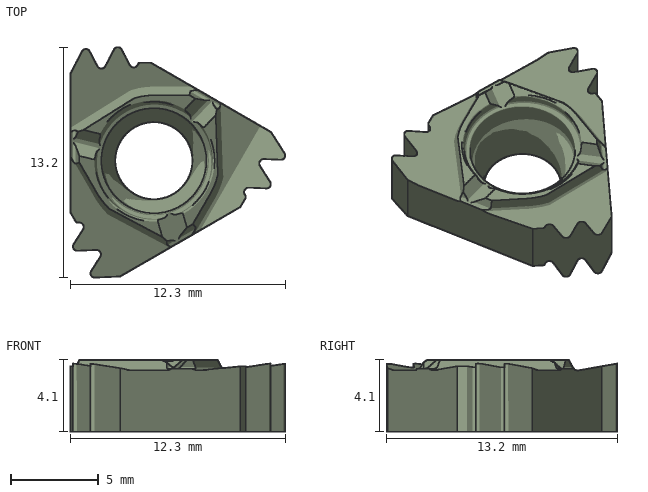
import cadquery as cq
import math

CORNERS = 3
CORNER_STEP = 360 / CORNERS

SIDE_DISTANCE = 4.76
TOP_Z = 4.1
FLOOR_Z = 3.51
REACH = 9.21

FLANK_ANGLE = 27.5
THREAD_RADIUS = 0.25
FIRST_CREST_X = -3.88
FIRST_CREST_Y = 6.38
FIRST_ROOT_Y = 5.26
SECOND_CREST_Y = 6.49
SECOND_ROOT_Y = 5.33
LAND_Y = 5.6
LAND_RADIUS = 0.16
FOLD_DISTANCE = 4.29
TOOTH_FACE_ANGLE = 10.0
FOLD_RADIUS = 0.4

FRONT_WALL_ANGLE = 90.0
FRONT_WALL_DISTANCE = 3.74
SKEW_WALL_ANGLE = 122.0
SKEW_WALL_DISTANCE = 3.62
WALL_TAPER = 27.0
BLEND_RADIUS = 0.32

LEDGE_Z = 3.6
LEDGE_WALL_DISTANCE = 4.25
LEDGE_BLEND_RADIUS = 0.2
LEDGE_START_Y = -0.4
LEDGE_END_Y = 2.63
GROOVE_ANGLE = 166.2
GROOVE_HALF_WIDTH = 0.75
GROOVE_SLOPE = 50.0
GROOVE_INNER_END = 2.37
GROOVE_OVERRUN = 0.66

THROAT_RADIUS = 4.4 / 2
THROAT_TOP_Z = 0.79
SEAT_RADIUS = 2.2
SEAT_ANGLE = 45.0
BORE_RADIUS = 3.0
SHELF_Z = 3.6
SHELF_EDGE_RADIUS = 0.07
MOUTH_RADIUS = 3.38
MOUTH_TAPER = 10.0
MOUTH_BLEND_RADIUS = 0.21
RIM_RADIUS = 0.1


def tangent(degrees):
    return math.tan(math.radians(degrees))


def polar(radius, degrees):
    angle = math.radians(degrees)
    return (radius * math.cos(angle), radius * math.sin(angle))


def shifted(point, radius, degrees):
    dx, dy = polar(radius, degrees)
    return (point[0] + dx, point[1] + dy)


def turned(point, steps):
    """Plan point carried to another corner, counted counterclockwise."""
    x, y = point
    return polar(math.hypot(x, y), math.degrees(math.atan2(y, x)) + CORNER_STEP * steps)


def upright_edge_at(point):
    return cq.selectors.NearestToPointSelector((*point, REACH / 2))


def lines_crossing(distance_a, angle_a, distance_b, angle_b):
    """Point where two plan lines meet, each given by its distance from the axis and its normal."""
    ax, ay = polar(1, angle_a)
    bx, by = polar(1, angle_b)
    cross = ax * by - ay * bx
    return ((distance_a * by - distance_b * ay) / cross, (distance_b * ax - distance_a * bx) / cross)


def at_each_corner(shape):
    return [shape.rotate((0, 0, 0), (0, 0, 1), CORNER_STEP * i) for i in range(CORNERS)]


def outline_prism():
    """Toothed outline, taller than the part, with rounded crests and roots."""
    flank = tangent(FLANK_ANGLE)
    rounding = THREAD_RADIUS * (1 / math.sin(math.radians(FLANK_ANGLE)) - 1)
    heights = [
        FIRST_CREST_Y + rounding,
        FIRST_ROOT_Y - rounding,
        SECOND_CREST_Y + rounding,
        SECOND_ROOT_Y - rounding,
    ]
    thread = [(FIRST_CREST_X, heights[0])]
    for y in heights[1:]:
        x, previous_y = thread[-1]
        thread.append((x + abs(y - previous_y) * flank, y))
    root_x, root_y = thread[-1]
    land_start = (root_x + (LAND_Y - root_y) * flank, LAND_Y)
    land_end = lines_crossing(LAND_Y, 90, SIDE_DISTANCE, 60)
    side_start = (-SIDE_DISTANCE, heights[0] - (FIRST_CREST_X + SIDE_DISTANCE) / flank)
    corner = [side_start, *thread, land_start, land_end]

    points = [turned(point, -i) for i in range(CORNERS) for point in corner]
    prism = cq.Workplane("XY").polyline(points).close().extrude(REACH)
    for i in range(CORNERS):
        for point in thread:
            prism = prism.edges(upright_edge_at(turned(point, i))).fillet(THREAD_RADIUS)
        prism = prism.edges(upright_edge_at(turned(land_start, i))).fillet(LAND_RADIUS)
    return prism


def boss_on_floor():
    """Tapered boss with a front wall, a conical wall and a skew wall per corner, on the chip floor."""
    arc_end = SKEW_WALL_ANGLE - math.degrees(math.acos(SKEW_WALL_DISTANCE / FRONT_WALL_DISTANCE))
    arc_angles = (FRONT_WALL_ANGLE, (FRONT_WALL_ANGLE + arc_end) / 2, arc_end)
    arc = [polar(FRONT_WALL_DISTANCE, angle) for angle in arc_angles]
    tip = lines_crossing(
        SKEW_WALL_DISTANCE, SKEW_WALL_ANGLE,
        FRONT_WALL_DISTANCE, FRONT_WALL_ANGLE + CORNER_STEP,
    )

    path = cq.Workplane("XY", origin=(0, 0, TOP_Z)).moveTo(*arc[0])
    for i in range(CORNERS):
        path = path.threePointArc(turned(arc[1], i), turned(arc[2], i)).lineTo(*turned(tip, i))
        if i < CORNERS - 1:
            path = path.lineTo(*turned(arc[0], i + 1))
    boss = path.close().extrude(FLOOR_Z - TOP_Z, taper=-WALL_TAPER)
    slab = cq.Workplane("XY").rect(2 * REACH, 2 * REACH).extrude(FLOOR_Z)
    inside = REACH - 0.13
    boss_foot = cq.selectors.BoxSelector((-inside, -inside, FLOOR_Z - 0.01), (inside, inside, FLOOR_Z + 0.01))
    return slab.union(boss).edges(boss_foot).fillet(BLEND_RADIUS)


def tooth_face_wedge():
    """Ground under one tooth face: flat up to the fold, then rising outward."""
    rise = (REACH - FOLD_DISTANCE) * tangent(TOOTH_FACE_ANGLE)
    base_z = FLOOR_Z / 2
    profile = [
        (0, base_z),
        (0, FLOOR_Z),
        (FOLD_DISTANCE, FLOOR_Z),
        (REACH, FLOOR_Z + rise),
        (REACH, base_z),
    ]
    wedge = cq.Workplane("YZ").polyline(profile).close().extrude(REACH, both=True)
    fold = cq.selectors.NearestToPointSelector((0, FOLD_DISTANCE, FLOOR_Z))
    return wedge.edges(fold).fillet(FOLD_RADIUS)


def ledge_cutter():
    """Space above the narrow ledge on the -X side, bounded by a sloping blended wall."""
    wall_run = (TOP_Z - LEDGE_Z) * tangent(WALL_TAPER)
    profile = [
        (-LEDGE_WALL_DISTANCE, TOP_Z),
        (-LEDGE_WALL_DISTANCE - wall_run, LEDGE_Z),
        (-REACH, LEDGE_Z),
        (-REACH, TOP_Z),
    ]
    length = LEDGE_END_Y - LEDGE_START_Y
    cutter = cq.Workplane("XZ", origin=(0, LEDGE_END_Y, 0)).polyline(profile).close().extrude(length)
    foot = cq.selectors.NearestToPointSelector((profile[1][0], LEDGE_END_Y - length / 2, LEDGE_Z))
    return cutter.edges(foot).fillet(LEDGE_BLEND_RADIUS)


def groove_cutter():
    """V groove with blended walls, running outward from the screw hole along +X, then turned."""
    floor_half_width = GROOVE_HALF_WIDTH - (TOP_Z - LEDGE_Z) * tangent(GROOVE_SLOPE)
    profile = [
        (-GROOVE_HALF_WIDTH, TOP_Z),
        (-floor_half_width, LEDGE_Z),
        (floor_half_width, LEDGE_Z),
        (GROOVE_HALF_WIDTH, TOP_Z),
    ]
    plane = cq.Workplane("YZ", origin=(GROOVE_INNER_END, 0, 0))
    cutter = plane.polyline(profile).close().extrude(SIDE_DISTANCE - GROOVE_INNER_END + GROOVE_OVERRUN)
    cutter = cutter.faces("<Z").edges("|X").fillet(BLEND_RADIUS)
    return cutter.rotate((0, 0, 0), (0, 0, 1), GROOVE_ANGLE)


def screw_hole():
    """Revolved hole: throat, convex seat, bore, shelf and tapered mouth."""
    seat_center = (THROAT_RADIUS + SEAT_RADIUS, THROAT_TOP_Z)
    seat_middle = shifted(seat_center, SEAT_RADIUS, 180 - SEAT_ANGLE / 2)
    seat_end = shifted(seat_center, SEAT_RADIUS, 180 - SEAT_ANGLE)
    blend_radius = (BORE_RADIUS - seat_end[0]) / (1 - math.cos(math.radians(SEAT_ANGLE)))
    blend_center = shifted(seat_end, blend_radius, 180 - SEAT_ANGLE)
    blend_middle = shifted(blend_center, blend_radius, -SEAT_ANGLE / 2)
    bore_start = shifted(blend_center, blend_radius, 0)

    edge_center = (BORE_RADIUS + SHELF_EDGE_RADIUS, SHELF_Z - SHELF_EDGE_RADIUS)
    mouth_foot = MOUTH_RADIUS - (TOP_Z - SHELF_Z) * tangent(MOUTH_TAPER)
    half_turn = (90 - MOUTH_TAPER) / 2
    shelf_center = (mouth_foot - MOUTH_BLEND_RADIUS * tangent(half_turn), SHELF_Z + MOUTH_BLEND_RADIUS)
    rim_center = (MOUTH_RADIUS + RIM_RADIUS * tangent(half_turn), TOP_Z - RIM_RADIUS)
    return (
        cq.Workplane("XZ")
        .lineTo(THROAT_RADIUS, 0)
        .lineTo(THROAT_RADIUS, THROAT_TOP_Z)
        .threePointArc(seat_middle, seat_end)
        .threePointArc(blend_middle, bore_start)
        .lineTo(*shifted(edge_center, SHELF_EDGE_RADIUS, 180))
        .threePointArc(
            shifted(edge_center, SHELF_EDGE_RADIUS, 135),
            shifted(edge_center, SHELF_EDGE_RADIUS, 90),
        )
        .lineTo(*shifted(shelf_center, MOUTH_BLEND_RADIUS, -90))
        .threePointArc(
            shifted(shelf_center, MOUTH_BLEND_RADIUS, half_turn - 90),
            shifted(shelf_center, MOUTH_BLEND_RADIUS, -MOUTH_TAPER),
        )
        .lineTo(*shifted(rim_center, RIM_RADIUS, 180 - MOUTH_TAPER))
        .threePointArc(
            shifted(rim_center, RIM_RADIUS, 90 + half_turn),
            shifted(rim_center, RIM_RADIUS, 90),
        )
        .lineTo(0, TOP_Z)
        .close()
        .revolve(360, (0, 0, 0), (0, 1, 0))
    )


body = boss_on_floor()
for wedge in at_each_corner(tooth_face_wedge()):
    body = body.union(wedge)
body = body.intersect(outline_prism())
for cutter in at_each_corner(ledge_cutter()) + at_each_corner(groove_cutter()):
    body = body.cut(cutter)
result = body.cut(screw_hole())